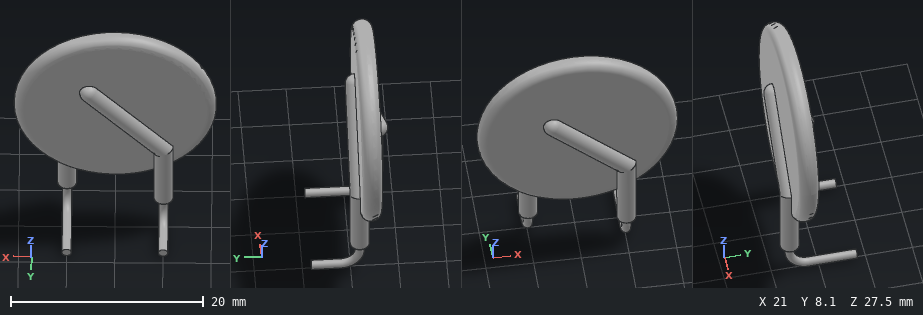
import cadquery as cq
import math

DISC_DIAMETER = 21.0
DISC_THICKNESS = 2.1
RIM_FILLET = 1.0

COATING_DIAMETER = 2.0
LEAD_X = 5.0
FRONT_ELBOW_Z = -5.42
FRONT_TIP = (-2.7, 1.8)
BACK_ELBOW_Z = -5.88
BACK_TIP = (2.7, 2.78)
COATING_END_Z = -13.42

WIRE_DIAMETER = 1.0
TAPER_HEIGHT = (COATING_DIAMETER - WIRE_DIAMETER) / 2
BEND_RADIUS = 2.0
TOTAL_HEIGHT = 27.5
TOTAL_DEPTH = 8.1
WIRE_AXIS_Z = DISC_DIAMETER / 2 - TOTAL_HEIGHT + WIRE_DIAMETER / 2
PIN_END_Y = TOTAL_DEPTH - (DISC_THICKNESS + COATING_DIAMETER) / 2


def make_disc():
    disc = cq.Workplane("XZ").circle(DISC_DIAMETER / 2).extrude(DISC_THICKNESS / 2, both=True)
    return disc.edges().fillet(RIM_FILLET)


def make_coating(x, y, elbow_z, tip):
    """Vertical coated leg, mitred elbow, slanted run and rounded tip."""
    tip_x, tip_z = tip
    path = (
        cq.Workplane("XZ", origin=(0, y, 0))
        .moveTo(x, COATING_END_Z)
        .lineTo(x, elbow_z)
        .lineTo(tip_x, tip_z)
    )
    profile = cq.Workplane("XY", origin=(x, y, COATING_END_Z)).circle(COATING_DIAMETER / 2)
    run = profile.sweep(path, transition="right")
    tip_ball = cq.Workplane("XY", origin=(tip_x, y, tip_z)).sphere(COATING_DIAMETER / 2)
    return run.union(tip_ball)


def make_taper(x, y):
    """Cone where the coating narrows down to the bare wire."""
    return (
        cq.Workplane("XY", origin=(x, y, COATING_END_Z))
        .circle(COATING_DIAMETER / 2)
        .workplane(offset=-TAPER_HEIGHT)
        .circle(WIRE_DIAMETER / 2)
        .loft()
    )


def make_pin(x, y):
    """Bare wire that drops from the coating and bends a quarter turn to +Y."""
    bend_top_z = WIRE_AXIS_Z + BEND_RADIUS
    bend_end_y = y + BEND_RADIUS
    bend_offset = BEND_RADIUS * math.sqrt(0.5)
    bend_middle = (bend_end_y - bend_offset, bend_top_z - bend_offset)
    path = (
        cq.Workplane("YZ", origin=(x, 0, 0))
        .moveTo(y, COATING_END_Z)
        .lineTo(y, bend_top_z)
        .threePointArc(bend_middle, (bend_end_y, WIRE_AXIS_Z))
        .lineTo(PIN_END_Y, WIRE_AXIS_Z)
    )
    profile = cq.Workplane("XY", origin=(x, y, COATING_END_Z)).circle(WIRE_DIAMETER / 2)
    return profile.sweep(path)


def make_lead(x, y, elbow_z, tip):
    return make_coating(x, y, elbow_z, tip).union(make_taper(x, y)).union(make_pin(x, y))


front_lead = make_lead(LEAD_X, -DISC_THICKNESS / 2, FRONT_ELBOW_Z, FRONT_TIP)
back_lead = make_lead(-LEAD_X, DISC_THICKNESS / 2, BACK_ELBOW_Z, BACK_TIP)
result = make_disc().union(front_lead).union(back_lead)